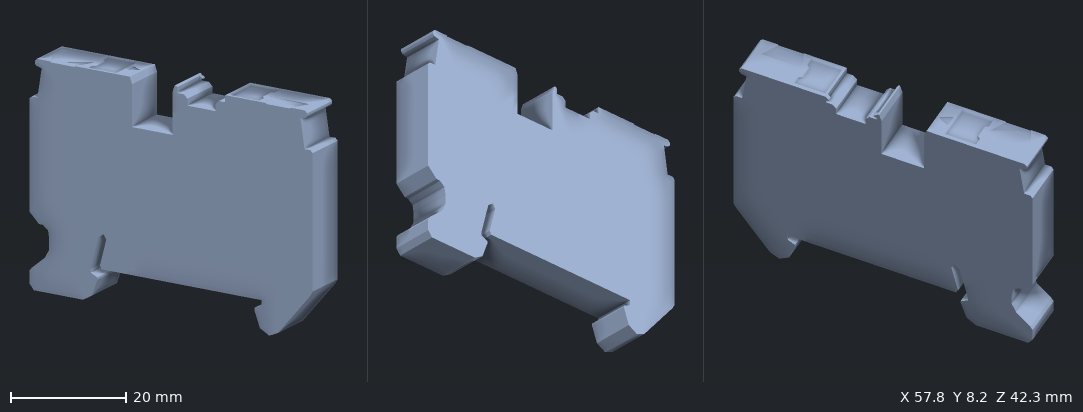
import cadquery as cq

LENGTH = 57.8
WIDTH = 8.2
HEIGHT = 42.3

SHOULDER_Z = 35.25
SHOULDER_CHAMFER = 0.45
NECK_BOTTOM_X = 1.65
NECK_TOP_X = 2.5
LIP_X = 1.1
LIP_TOP_CHAMFER = 0.45
LIP_LOWER_Z = 41.4
LIP_UNDERSIDE_Z = 41.0
LIP_UNDERSIDE_X = 1.45
LIP_ROOT_Z = 40.75

SLOT_LEFT_X = 20.95
SLOT_RIGHT_X = 29.2
SLOT_FLOOR_Z = 33.2
SLOT_LEAD_IN = 0.45
LEAD_IN_Z = 41.0
POST_CREST_X = 29.9
POST_FACE_X = 30.15
POST_FACE_TOP_Z = HEIGHT - (POST_FACE_X - POST_CREST_X)

LEDGE_Z = 41.0
LEDGE_CHAMFER = 0.7
GROOVE_LEFT_X = 32.25
GROOVE_RIGHT_X = 37.95
GROOVE_FLOOR_Z = 39.05
RIGHT_BLOCK_X = 39.95

CATCH_REACH = 0.55
CATCH_LENGTH = 0.8
CATCH_NOSE_DROP = 0.55
CATCH_NOSE_HEIGHT = 0.2
CATCH_ROOT_DROP = 0.85

RAIL_SEAT_Z = 6.2
SEAT_LEFT_X = 14.8
SEAT_RIGHT_X = 47.35
UNDERCUT_Z = 5.2
NOSE_Z = 4.55
NOSE_LOW_Z = 4.15
LEAD_END_Z = 1.05

HOOK_NOSE_X = 45.9
HOOK_LEAD_END_X = 47.05
HOOK_TIP_X = 48.95
HOOK_BACK_LOW = (50.75, 0.8)
HOOK_BACK_HIGH = (57.3, 8.65)
HOOK_TOP_Z = 9.55

SLIT_MOUTH = (14.4, 6.85)
SLIT_INNER = (15.7, 11.75)
SLIT_CREST = (15.15, 12.7)
SLIT_OUTER = (14.1, 11.95)
SLIT_FOOT_X = 12.5
SLIT_FOOT_Z = 5.9

FOOT_NOSE_X = 13.9
FOOT_LEAD_END_X = 12.75
FOOT_SOLE_X = (0.9, 10.95)
FOOT_TOE_Z = (1.1, 3.4)
FOOT_RAMP_LOW = (0.45, 4.0)
FOOT_RAMP_HIGH = (3.2, 6.35)
WAIST_X = 4.05
WAIST_Z = (8.0, 9.9)
WAIST_TOP = (3.8, 11.4)
OVERHANG_X = (1.95, 2.75)
OVERHANG_Z = 12.25
LEFT_SIDE_BOTTOM_Z = 14.2

WINDOW_X = (11.3, 17.35)
WINDOW_Y = (0.5, 7.45)
WINDOW_DEPTH = 0.3
WINDOW_DRAFT = 0.2
WINDOW_FRONT_DRAFT = 0.42
TAB_DEPTH = 0.6
TAB_Y = (2.3, 5.95)
TAB_CHAMFER = 0.5

MARK_DEPTH = 0.17
MARK_REAR_Y = 3.45
MARK_REAR_LENGTH = 8.3
MARK_FRONT_OFFSET = 1.6
MARK_FRONT_LENGTH = 5.0
MARK_DRAFT = 0.2
LEFT_MARK_X = 2.75
RIGHT_MARK_X = 46.7

ARROW_BACK_X = 17.5
ARROW_BASE_X = 17.9
ARROW_TIP_X = 20.05
ARROW_Y = 4.2
ARROW_HALF_WIDTH = 1.1
ARROW_BACK_HALF_WIDTH = 0.72
ARROW_DEPTH = 0.17
ARROW_BASE_DEPTH = ARROW_DEPTH / 2


def mirrored(points):
    """Reflect X about mid-length and reverse the order, so an outline keeps its direction."""
    return [(LENGTH - x, z) for x, z in reversed(points)]


def housing():
    """Full-width body: one clockwise outline in XZ, from the left shoulder."""
    left_end = [
        (0, SHOULDER_Z - SHOULDER_CHAMFER),
        (SHOULDER_CHAMFER, SHOULDER_Z),
        (NECK_BOTTOM_X, SHOULDER_Z),
        (NECK_TOP_X, LIP_ROOT_Z),
        (LIP_UNDERSIDE_X, LIP_UNDERSIDE_Z),
        (LIP_X, LIP_LOWER_Z),
        (LIP_X, HEIGHT - LIP_TOP_CHAMFER),
        (LIP_X + LIP_TOP_CHAMFER, HEIGHT),
    ]
    slot_and_post = [
        (SLOT_LEFT_X - SLOT_LEAD_IN, HEIGHT),
        (SLOT_LEFT_X, LEAD_IN_Z),
        (SLOT_LEFT_X, SLOT_FLOOR_Z),
        (SLOT_RIGHT_X, SLOT_FLOOR_Z),
        (SLOT_RIGHT_X, LEAD_IN_Z),
        (SLOT_RIGHT_X + SLOT_LEAD_IN, HEIGHT),
        (POST_CREST_X, HEIGHT),
        (POST_FACE_X, POST_FACE_TOP_Z),
        (POST_FACE_X, LEDGE_Z),
    ]
    marker_groove = [
        (GROOVE_LEFT_X - LEDGE_CHAMFER, LEDGE_Z),
        (GROOVE_LEFT_X, LEDGE_Z - LEDGE_CHAMFER),
        (GROOVE_LEFT_X, GROOVE_FLOOR_Z),
        (GROOVE_RIGHT_X, GROOVE_FLOOR_Z),
        (GROOVE_RIGHT_X, LEDGE_Z - LEDGE_CHAMFER),
        (GROOVE_RIGHT_X + LEDGE_CHAMFER, LEDGE_Z),
        (RIGHT_BLOCK_X, LEDGE_Z),
        (RIGHT_BLOCK_X, HEIGHT),
    ]
    fixed_hook = [
        (LENGTH, HOOK_TOP_Z),
        HOOK_BACK_HIGH,
        HOOK_BACK_LOW,
        (HOOK_TIP_X, 0),
        (HOOK_LEAD_END_X, LEAD_END_Z),
        (HOOK_NOSE_X, NOSE_LOW_Z),
        (HOOK_NOSE_X, NOSE_Z),
        (SEAT_RIGHT_X, UNDERCUT_Z),
        (SEAT_RIGHT_X, RAIL_SEAT_Z),
    ]
    relief_slit = [
        (SEAT_LEFT_X, RAIL_SEAT_Z),
        SLIT_MOUTH,
        SLIT_INNER,
        SLIT_CREST,
        SLIT_OUTER,
        (SLIT_FOOT_X, SLIT_FOOT_Z),
    ]
    spring_foot = [
        (SLIT_FOOT_X, UNDERCUT_Z),
        (FOOT_NOSE_X, NOSE_Z),
        (FOOT_NOSE_X, NOSE_LOW_Z),
        (FOOT_LEAD_END_X, LEAD_END_Z),
        (FOOT_SOLE_X[1], 0),
        (FOOT_SOLE_X[0], 0),
        (0, FOOT_TOE_Z[0]),
        (0, FOOT_TOE_Z[1]),
        FOOT_RAMP_LOW,
        FOOT_RAMP_HIGH,
        (WAIST_X, WAIST_Z[0]),
        (WAIST_X, WAIST_Z[1]),
        WAIST_TOP,
        (OVERHANG_X[1], OVERHANG_Z),
        (OVERHANG_X[0], OVERHANG_Z),
        (0, LEFT_SIDE_BOTTOM_Z),
    ]
    outline = left_end + slot_and_post + marker_groove + mirrored(left_end)
    outline += fixed_hook + relief_slit + spring_foot
    return cq.Workplane("XZ").polyline(outline).close().extrude(-WIDTH)


def catch(root_x, root_top_z, direction):
    """Small barb that leans out from a wall over the marker ledge."""
    nose_x = root_x + direction * CATCH_REACH
    nose_z = HEIGHT - CATCH_NOSE_DROP
    profile = [
        (root_x, HEIGHT - CATCH_ROOT_DROP),
        (root_x, root_top_z),
        (nose_x, nose_z),
        (nose_x, nose_z - CATCH_NOSE_HEIGHT),
    ]
    rear_plane = cq.Workplane("XZ", origin=(0, WIDTH, 0))
    return rear_plane.polyline(profile).close().extrude(CATCH_LENGTH)


def at_depth(points, depth):
    """Place XY points at the given depth below the top face."""
    return [cq.Vector(x, y, HEIGHT - depth) for x, y in points]


def prismatoid(top, floor):
    """Solid between two polygons with equal point counts; matching points may coincide."""
    count = len(top)
    triangles = []
    for i in range(1, count - 1):
        triangles.append((top[0], top[i], top[i + 1]))
        triangles.append((floor[0], floor[i + 1], floor[i]))
    for i in range(count):
        j = (i + 1) % count
        triangles.append((top[i], floor[i], floor[j]))
        triangles.append((top[i], floor[j], top[j]))
    faces = []
    for triangle in triangles:
        sides = [(triangle[k] - triangle[k - 1]).Length for k in range(3)]
        if min(sides) > 0:
            wire = cq.Wire.makePolygon(triangle, close=True)
            faces.append(cq.Face.makeFromWires(wire))
    return cq.Workplane(cq.Solid.makeSolid(cq.Shell.makeShell(faces)).fix())


def window_outline(side, front):
    """Left-hand window with a tab in its outer side, inset by the given drafts."""
    x0 = WINDOW_X[0] + side
    x1 = WINDOW_X[1] - side
    y0 = WINDOW_Y[0] + front
    y1 = WINDOW_Y[1] - side
    tab_x = x0 + TAB_DEPTH
    return [
        (x0, y0),
        (x1, y0),
        (x1, y1),
        (x0, y1),
        (x0, TAB_Y[1]),
        (tab_x, TAB_Y[1] - TAB_CHAMFER),
        (tab_x, TAB_Y[0] + TAB_CHAMFER),
        (x0, TAB_Y[0]),
    ]


def window():
    """Left-hand window recess with drafted walls."""
    rim = cq.Wire.makePolygon(at_depth(window_outline(0, 0), 0), close=True)
    floor_points = window_outline(WINDOW_DRAFT, WINDOW_FRONT_DRAFT)
    floor = cq.Wire.makePolygon(at_depth(floor_points, WINDOW_DEPTH), close=True)
    return cq.Workplane(cq.Solid.makeLoft([rim, floor], True))


def slanted_mark(start_x, rear_depth):
    """Flat triangular recess, with a sloping-floored recess beside it.

    The sloping floor starts at the top face and is rear_depth deep at its inner rear corner.
    """
    rear_start = (start_x, MARK_REAR_Y)
    front_start = (start_x + MARK_FRONT_OFFSET, 0)
    rear_end = (start_x + MARK_REAR_LENGTH, MARK_REAR_Y)
    front_end = (front_start[0] + MARK_FRONT_LENGTH, 0)
    rim = [front_start, front_end, rear_end]
    floor = [front_start] + [(x - MARK_DRAFT, y) for x, y in rim[1:]]
    recess = prismatoid(at_depth(rim, 0), at_depth(floor, MARK_DEPTH))

    ramp_rim = at_depth([rear_start, front_start, rear_end], 0)
    ramp_floor = [
        ramp_rim[0],
        ramp_rim[1] - cq.Vector(0, 0, MARK_DEPTH),
        ramp_rim[2] - cq.Vector(0, 0, rear_depth),
    ]
    return recess, prismatoid(ramp_rim, ramp_floor)


def arrow():
    """Triangular recess with a shallower step along its base."""
    rim = [
        (ARROW_BACK_X, ARROW_Y - ARROW_BACK_HALF_WIDTH),
        (ARROW_BASE_X, ARROW_Y - ARROW_HALF_WIDTH),
        (ARROW_TIP_X, ARROW_Y),
        (ARROW_BASE_X, ARROW_Y + ARROW_HALF_WIDTH),
        (ARROW_BACK_X, ARROW_Y + ARROW_BACK_HALF_WIDTH),
    ]
    top = cq.Workplane("XY", origin=(0, 0, HEIGHT))
    head = top.polyline(rim[1:4]).close().extrude(-ARROW_DEPTH)
    base = top.polyline([rim[0], rim[1], rim[3], rim[4]]).close().extrude(-ARROW_BASE_DEPTH)
    return head.union(base)


body = housing()
body = body.union(catch(POST_FACE_X, POST_FACE_TOP_Z, 1))
body = body.union(catch(RIGHT_BLOCK_X, HEIGHT, -1))

left_window = window()
right_window = left_window.mirror("YZ", (LENGTH / 2, 0, 0))
body = body.cut(left_window).cut(right_window)

for mark_x, rear_depth in ((LEFT_MARK_X, 0), (RIGHT_MARK_X, MARK_DEPTH)):
    for piece in slanted_mark(mark_x, rear_depth):
        body = body.cut(piece)

result = body.cut(arrow()).solids()